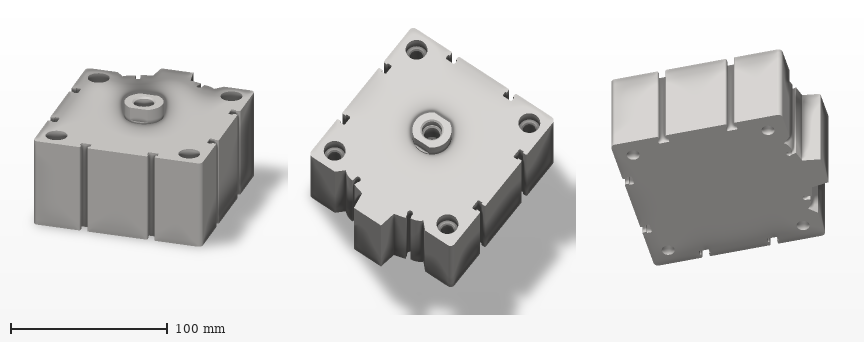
import cadquery as cq
import math

width = 113.0
half_width = width / 2
height = 59.0
corner_radius = 3.0

notch_outer_x = 35.6
notch_bottom_x = 30.6
land_inner_x = 23.1
land_inner_y = 54.95
land_sagitta = 0.75
shoulder_outer_x = 20.2
shoulder_slope = 15.0
key_base_y = 58.7
key_base_half_width = 12.5
key_top_y = 70.2
key_top_half_width = 10.7

slot_offset = 22.5
slot_neck_width = 4.9
slot_neck_depth = 2.9
slot_head_width = 7.0
slot_depth = 6.2
slot_mouth_chamfer = 0.5
slot_floor_chamfer = 0.5

sensor_x = 20.6
sensor_y = 52.3
sensor_diameter = 3.8
sensor_neck_width = 3.1
sensor_tilt = 16.0
sensor_neck_length = 8.0

mount_pitch = 89.0
mount_diameter = 8.38
mount_countersink_diameter = 10.11
mount_counterbore_diameter = 14.0
mount_counterbore_depth = 9.0

rod_diameter = 25.0
rod_projection = 10.0
rod_insertion = 20.0
flat_spacing = 22.0
flat_clearance = 1.0
rod_top = height + rod_projection
rod_bottom = height - rod_insertion

mouth_diameter = 15.0
entry_diameter = 13.0
entry_depth = 6.1
step_diameter = 12.0
pilot_diameter = 10.11
pilot_depth = 20.0
drill_tip_angle = 118.0


def cone_depth(large_diameter, small_diameter):
    """Axial length of a 45 degree cone between two diameters."""
    return (large_diameter - small_diameter) / 2


def housing_block():
    """Extruded outline with the notches, lands, shoulders and key on its +Y side."""
    notch_bottom_y = half_width - (notch_outer_x - notch_bottom_x)
    shoulder_run = shoulder_outer_x - key_base_half_width
    shoulder_outer_y = key_base_y - shoulder_run * math.tan(math.radians(shoulder_slope))
    right_half = (
        cq.Workplane("XY")
        .moveTo(0, -half_width)
        .lineTo(half_width, -half_width)
        .lineTo(half_width, half_width)
        .lineTo(notch_outer_x, half_width)
        .lineTo(notch_bottom_x, notch_bottom_y)
        .sagittaArc((land_inner_x, land_inner_y), -land_sagitta)
        .lineTo(shoulder_outer_x, shoulder_outer_y)
        .lineTo(key_base_half_width, key_base_y)
        .lineTo(key_top_half_width, key_top_y)
        .lineTo(0, key_top_y)
        .close()
        .extrude(height)
    )
    corners = right_half.edges("|Z and >X")
    rounded_half = corners.fillet(corner_radius)
    return rounded_half.union(rounded_half.mirror("YZ")).clean()


def t_slot(offset):
    """T-slot cutter in the -Y face at the given X offset."""
    neck = slot_neck_width / 2
    head = slot_head_width / 2
    right_side = [
        (neck + slot_mouth_chamfer, 0),
        (neck, slot_mouth_chamfer),
        (neck, slot_neck_depth),
        (head, slot_neck_depth),
        (head, slot_depth - slot_floor_chamfer),
        (head - slot_floor_chamfer, slot_depth),
    ]
    left_side = [(-x, y) for x, y in reversed(right_side)]
    return (
        cq.Workplane("XY", origin=(offset, -half_width, 0))
        .polyline(right_side + left_side)
        .close()
        .extrude(height)
    )


def sensor_slot(side):
    """Round-bottomed slot cutter with a narrower neck, leaning outward."""
    groove = cq.Workplane("XY").circle(sensor_diameter / 2).extrude(height)
    neck = (
        cq.Workplane("XY")
        .center(0, sensor_neck_length / 2)
        .rect(sensor_neck_width, sensor_neck_length)
        .extrude(height)
    )
    upright = groove.union(neck)
    tilted = upright.rotate((0, 0, 0), (0, 0, 1), -side * sensor_tilt)
    return tilted.translate((side * sensor_x, sensor_y, 0))


def mount_hole_cutter():
    """Through hole with a countersink under a deep counterbore, on the Z axis."""
    bore = mount_diameter / 2
    sink = mount_countersink_diameter / 2
    counterbore = mount_counterbore_diameter / 2
    floor_z = height - mount_counterbore_depth
    sink_z = floor_z - cone_depth(mount_countersink_diameter, mount_diameter)
    profile = [
        (0, 0),
        (bore, 0),
        (bore, sink_z),
        (sink, floor_z),
        (counterbore, floor_z),
        (counterbore, height),
        (0, height),
    ]
    return cq.Workplane("XZ").polyline(profile).close().revolve(360, (0, 0), (0, 1))


def make_housing():
    """Slotted housing with mounting holes and a blind socket for the rod."""
    housing = housing_block()
    for face_angle in (0, 90, -90):
        for offset in (-slot_offset, slot_offset):
            housing = housing.cut(t_slot(offset).rotate((0, 0, 0), (0, 0, 1), face_angle))
    for side in (-1, 1):
        housing = housing.cut(sensor_slot(side))
    for x in (-mount_pitch / 2, mount_pitch / 2):
        for y in (-mount_pitch / 2, mount_pitch / 2):
            housing = housing.cut(mount_hole_cutter().translate((x, y, 0)))
    rod_socket = (
        cq.Workplane("XY")
        .workplane(offset=rod_bottom)
        .circle(rod_diameter / 2)
        .extrude(rod_insertion)
    )
    return housing.cut(rod_socket)


def rod_hole_cutter():
    """Chamfered blind hole with a flat ledge, a 45 degree lead-in and a drill-point bottom."""
    mouth = mouth_diameter / 2
    entry = entry_diameter / 2
    step = step_diameter / 2
    pilot = pilot_diameter / 2
    mouth_z = rod_top - cone_depth(mouth_diameter, entry_diameter)
    entry_z = rod_top - entry_depth
    pilot_z = rod_top - pilot_depth
    tip_z = pilot_z - pilot / math.tan(math.radians(drill_tip_angle / 2))
    profile = [
        (0, rod_top),
        (mouth, rod_top),
        (entry, mouth_z),
        (entry, entry_z),
        (step, entry_z),
        (pilot, entry_z - cone_depth(step_diameter, pilot_diameter)),
        (pilot, pilot_z),
        (0, tip_z),
    ]
    return cq.Workplane("XZ").polyline(profile).close().revolve(360, (0, 0), (0, 1))


def make_rod():
    """Round rod with two wrench flats and a stepped end hole."""
    rod = (
        cq.Workplane("XY")
        .workplane(offset=rod_bottom)
        .circle(rod_diameter / 2)
        .extrude(rod_top - rod_bottom)
    )
    flat_depth = (rod_diameter - flat_spacing) / 2
    flat_height = rod_projection - flat_clearance
    for side in (-1, 1):
        flat = (
            cq.Workplane("XY")
            .workplane(offset=rod_top - flat_height)
            .center(0, side * (flat_spacing + flat_depth) / 2)
            .rect(rod_diameter, flat_depth)
            .extrude(flat_height)
        )
        rod = rod.cut(flat)
    return rod.cut(rod_hole_cutter())


housing = make_housing()
rod = make_rod()
result = cq.Compound.makeCompound([housing.val(), rod.val()])